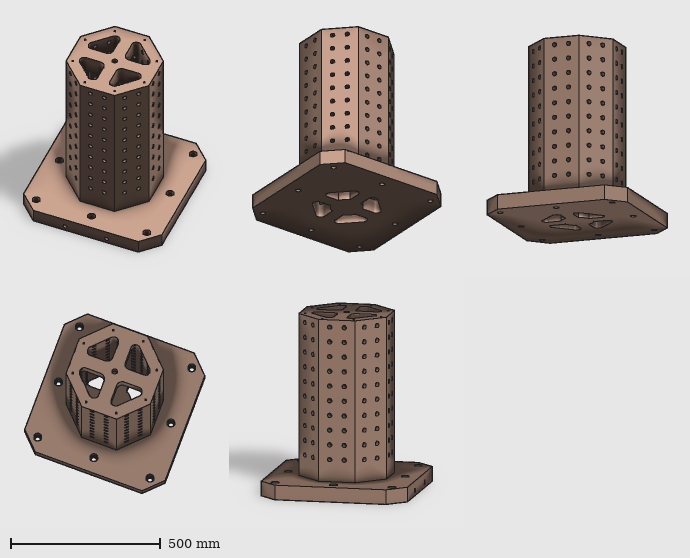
import cadquery as cq
import math

BASE_SIDE = 500.0
BASE_HEIGHT = 50.0
BASE_CORNER_CHAMFER = 60.0
BOLT_SPACING = 200.0
BOLT_DIAMETER = 18.0
BOLT_COUNTERBORE_DIAMETER = 26.0
BOLT_COUNTERBORE_DEPTH = 30.0
HUB_DIAMETER = 110.0

EDGE_HOLE_DIAMETER = 14.0
EDGE_HOLE_DEPTH = 30.0
EDGE_HOLE_OFFSET = 75.0
EDGE_HOLE_HEIGHT = 18.0

TOTAL_HEIGHT = 600.0
COLUMN_WIDTH = 300.0
WALL = 40.0
CAP_THICKNESS = 62.0
FACE_COUNT = 8

WEB_WIDTH = 45.0
WINDOW_INNER_RADIUS = 20.0
WINDOW_OUTER_RADIUS = 15.0

PASSAGE_WIDTH = 64.0

GRID_HOLE_DIAMETER = 13.84
GRID_HOLE_OFFSET = 25.0
GRID_ROWS = 10
GRID_PITCH = 50.0
GRID_TOP_MARGIN = 25.0
GRID_HOLE_DEPTH = 40.0

LIFT_HOLE_DIAMETER = 17.5
LIFT_HOLE_DEPTH = 40.0
COVER_HOLE_DIAMETER = 5.0
COVER_HOLE_DEPTH = 15.0
COVER_HOLE_INSET = 20.0

INTO_FRONT = (0, 1, 0)
DOWN = (0, 0, -1)
DRILL_POINT_ANGLE = math.radians(118.0)

FACE_ANGLE = 360.0 / FACE_COUNT
CORNER_FACTOR = 1.0 / math.cos(math.pi / FACE_COUNT)
CAVITY_WIDTH = COLUMN_WIDTH - 2 * WALL
CAP_UNDERSIDE = TOTAL_HEIGHT - CAP_THICKNESS


def octagon(width, bottom, top):
    """Regular octagonal prism with flats facing X and Y, measured across flats."""
    return (
        cq.Workplane("XY", origin=(0, 0, bottom))
        .transformed(rotate=(0, 0, FACE_ANGLE / 2))
        .polygon(FACE_COUNT, width * CORNER_FACTOR)
        .extrude(top - bottom)
    )


def drilled_hole(diameter, depth, start, direction):
    """Blind hole with a conical drill point; depth is that of the cylindrical part."""
    radius = diameter / 2
    point_length = radius / math.tan(DRILL_POINT_ANGLE / 2)
    bit = (
        cq.Workplane("XZ")
        .polyline([(0, 0), (radius, 0), (radius, depth), (0, depth + point_length)])
        .close()
        .revolve(360, (0, 0), (0, 1))
        .val()
    )
    plane = cq.Plane(origin=start, normal=direction)
    return bit.moved(cq.Location(plane))


def windows(bottom, top):
    """Four openings left by the arms of the cross inside the cavity octagon."""
    half_web = WEB_WIDTH / 2
    reach = CAVITY_WIDTH / 2
    half_flat = reach * math.tan(math.pi / FACE_COUNT)
    corners = [
        (half_web, half_web),
        (reach, half_web),
        (reach, half_flat),
        (half_flat, reach),
        (half_web, reach),
    ]
    window = cq.Workplane("XY", origin=(0, 0, bottom)).polyline(corners).close().extrude(top - bottom)
    inner_corner = cq.selectors.NearestToPointSelector((half_web, half_web, (bottom + top) / 2))
    window = window.edges(inner_corner).fillet(WINDOW_INNER_RADIUS)
    window = window.edges("|Z").edges(">X or >Y").fillet(WINDOW_OUTER_RADIUS)
    opening = window
    for quarter in range(1, 4):
        opening = opening.union(window.rotate((0, 0, 0), (0, 0, 1), 90 * quarter))
    return opening


def base_plate():
    """Chamfered plate with counterbored bolt holes, a central hub and two front edge holes."""
    plate = (
        cq.Workplane("XY")
        .rect(BASE_SIDE, BASE_SIDE)
        .extrude(BASE_HEIGHT)
        .edges("|Z")
        .chamfer(BASE_CORNER_CHAMFER)
    )
    steps = (-BOLT_SPACING, 0, BOLT_SPACING)
    bolts = [(x, y) for x in steps for y in steps if (x, y) != (0, 0)]
    plate = (
        plate.faces(">Z")
        .workplane(origin=(0, 0, BASE_HEIGHT))
        .pushPoints(bolts)
        .cboreHole(BOLT_DIAMETER, BOLT_COUNTERBORE_DIAMETER, BOLT_COUNTERBORE_DEPTH)
    )
    hub = cq.Workplane("XY").circle(HUB_DIAMETER / 2).extrude(BASE_HEIGHT)
    plate = plate.cut(windows(0, BASE_HEIGHT).cut(hub))
    for x in (-EDGE_HOLE_OFFSET, EDGE_HOLE_OFFSET):
        start = (x, -BASE_SIDE / 2, EDGE_HOLE_HEIGHT)
        edge_hole = drilled_hole(EDGE_HOLE_DIAMETER, EDGE_HOLE_DEPTH, start, INTO_FRONT)
        plate = plate.cut(cq.Workplane(edge_hole))
    return plate


def column():
    """Octagonal shell closed by a cap with four windows between cross-shaped webs."""
    body = octagon(COLUMN_WIDTH, BASE_HEIGHT, TOTAL_HEIGHT)
    body = body.cut(windows(BASE_HEIGHT, TOTAL_HEIGHT))
    passage_height = CAP_UNDERSIDE - BASE_HEIGHT
    passage = cq.Workplane("XY", origin=(0, 0, BASE_HEIGHT + passage_height / 2)).box(
        PASSAGE_WIDTH, CAVITY_WIDTH, passage_height
    )
    crossing_passage = passage.rotate((0, 0, 0), (0, 0, 1), 90)
    return body.cut(passage).cut(crossing_passage)


def grid_holes():
    """Two columns of tapped holes on each of the eight faces."""
    holes = []
    for face in range(FACE_COUNT):
        for row in range(GRID_ROWS):
            height = TOTAL_HEIGHT - GRID_TOP_MARGIN - row * GRID_PITCH
            for x in (-GRID_HOLE_OFFSET, GRID_HOLE_OFFSET):
                start = (x, -COLUMN_WIDTH / 2, height)
                hole = drilled_hole(GRID_HOLE_DIAMETER, GRID_HOLE_DEPTH, start, INTO_FRONT)
                holes.append(hole.rotate((0, 0, 0), (0, 0, 1), face * FACE_ANGLE))
    return cq.Workplane(cq.Compound.makeCompound(holes))


def top_holes():
    """Central lifting hole and a ring of small cover screw holes."""
    holes = [drilled_hole(LIFT_HOLE_DIAMETER, LIFT_HOLE_DEPTH, (0, 0, TOTAL_HEIGHT), DOWN)]
    ring_radius = (COLUMN_WIDTH / 2 - COVER_HOLE_INSET) * CORNER_FACTOR
    for corner in range(FACE_COUNT):
        angle = math.radians((corner + 0.5) * FACE_ANGLE)
        start = (ring_radius * math.cos(angle), ring_radius * math.sin(angle), TOTAL_HEIGHT)
        holes.append(drilled_hole(COVER_HOLE_DIAMETER, COVER_HOLE_DEPTH, start, DOWN))
    return cq.Workplane(cq.Compound.makeCompound(holes))


result = base_plate().union(column()).cut(grid_holes()).cut(top_holes())